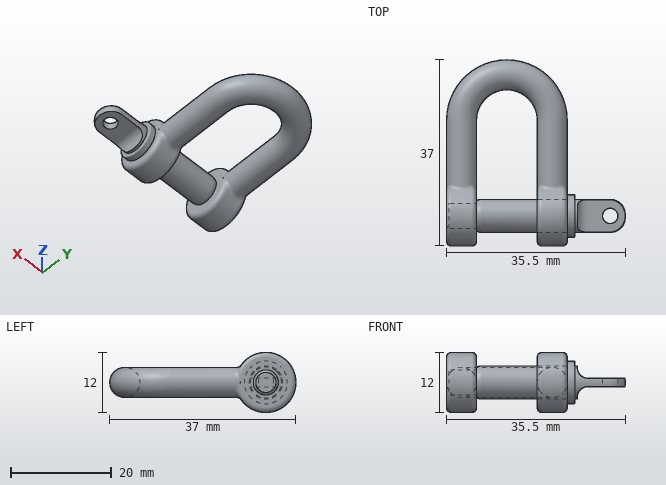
import cadquery as cq
import math


rod_diameter = 6.0
inside_width = 12.0
pin_to_bow_centre = 19.0
eye_diameter = 2 * rod_diameter
eye_rim_radius = 1.0
eye_blend_radius = 1.0

tail_diameter = 5.0
tail_chamfer = 0.5
shank_diameter = 6.6
lead_length = 0.9
lead_radius = 2.0
collar_diameter = 8.5
collar_length = 1.5
collar_edge_radius = 0.25
neck_length = 0.5
tab_thickness = 1.75
tab_root_radius = 2.0
tab_end_radius = 3.0
tab_hole_diameter = 3.0
tab_reach = 11.5

rod_radius = rod_diameter / 2
eye_radius = eye_diameter / 2
inner_face_x = inside_width / 2
outer_face_x = inner_face_x + rod_diameter
leg_x = inner_face_x + rod_radius

tail_radius = tail_diameter / 2
shank_radius = shank_diameter / 2
collar_radius = collar_diameter / 2
lead_end_x = -inner_face_x + lead_length
lead_start_radius = shank_radius - lead_radius + math.sqrt(lead_radius**2 - lead_length**2)
collar_end_x = outer_face_x + collar_length
neck_end_x = collar_end_x + neck_length
tab_root_x = neck_end_x + tab_root_radius
tab_tip_x = outer_face_x + tab_reach
tab_hole_x = tab_tip_x - tab_end_radius


def x_cylinder(diameter, start_x, length):
    """Solid cylinder on the pin axis."""
    return cq.Workplane("YZ", origin=(start_x, 0, 0)).circle(diameter / 2).extrude(length)


def make_bow():
    """Round U-shaped rod whose legs end at the pin axis, inside the eyes."""
    path = (
        cq.Workplane("XY")
        .moveTo(-leg_x, 0)
        .lineTo(-leg_x, pin_to_bow_centre)
        .threePointArc((0, pin_to_bow_centre + leg_x), (leg_x, pin_to_bow_centre))
        .lineTo(leg_x, 0)
    )
    return cq.Workplane("XZ", origin=(-leg_x, 0, 0)).circle(rod_radius).sweep(path)


def make_eye(start_x):
    """Disc with rounded rims at the end of one leg."""
    return x_cylinder(eye_diameter, start_x, rod_diameter).edges().fillet(eye_rim_radius)


def make_shackle():
    """Bow and eyes blended together, with a plain hole through each eye."""
    body = make_bow()
    for start_x in (-outer_face_x, inner_face_x):
        body = body.union(make_eye(start_x))

    joint_box = cq.selectors.BoxSelector(
        (-outer_face_x, rod_radius, -eye_radius),
        (outer_face_x, eye_diameter, eye_radius),
    )
    body = body.edges(joint_box).fillet(eye_blend_radius)

    body = body.cut(x_cylinder(tail_diameter, -outer_face_x, rod_diameter))
    return body.cut(x_cylinder(shank_diameter, inner_face_x, rod_diameter))


def make_turned_pin():
    """Round stock: chamfered tail, shank with rounded lead and tip, and a collar."""
    lead_mid_angle = math.asin(lead_length / lead_radius) / 2
    lead_mid = (
        lead_end_x - lead_radius * math.sin(lead_mid_angle),
        shank_radius - lead_radius + lead_radius * math.cos(lead_mid_angle),
    )
    tip_offset = tab_end_radius * math.sqrt(0.5)
    tip_mid = (tab_hole_x + tip_offset, shank_radius - tab_end_radius + tip_offset)
    stock = (
        cq.Workplane("XY")
        .moveTo(-outer_face_x, 0)
        .lineTo(-outer_face_x, tail_radius - tail_chamfer)
        .lineTo(-outer_face_x + tail_chamfer, tail_radius)
        .lineTo(-inner_face_x, tail_radius)
        .lineTo(-inner_face_x, lead_start_radius)
        .threePointArc(lead_mid, (lead_end_x, shank_radius))
        .lineTo(tab_hole_x, shank_radius)
        .threePointArc(tip_mid, (tab_tip_x, shank_radius - tab_end_radius))
        .lineTo(tab_tip_x, 0)
        .close()
        .revolve(360, (0, 0, 0), (1, 0, 0))
    )
    collar = x_cylinder(collar_diameter, outer_face_x, collar_length)
    return stock.union(collar.edges().fillet(collar_edge_radius))


def make_tab_relief():
    """Waste above the tab, with a concave round where the tab meets the neck."""
    half_thickness = tab_thickness / 2
    root_centre_z = half_thickness + tab_root_radius
    arc_offset = tab_root_radius * math.sqrt(0.5)
    return (
        cq.Workplane("XZ")
        .moveTo(neck_end_x, collar_radius)
        .lineTo(neck_end_x, root_centre_z)
        .threePointArc(
            (tab_root_x - arc_offset, root_centre_z - arc_offset),
            (tab_root_x, half_thickness),
        )
        .lineTo(tab_tip_x, half_thickness)
        .lineTo(tab_tip_x, collar_radius)
        .close()
        .extrude(collar_radius, both=True)
    )


def make_pin():
    """Turned pin with its end flattened into a drilled, round-ended tab."""
    turned = make_turned_pin()
    relief = make_tab_relief()
    hole = cq.Workplane("XY").center(tab_hole_x, 0).circle(tab_hole_diameter / 2)
    return (
        turned.cut(relief)
        .cut(relief.mirror("XY"))
        .cut(hole.extrude(tab_thickness, both=True))
    )


shackle = make_shackle()
pin = make_pin()

result = cq.Compound.makeCompound([*shackle.solids().vals(), *pin.solids().vals()])